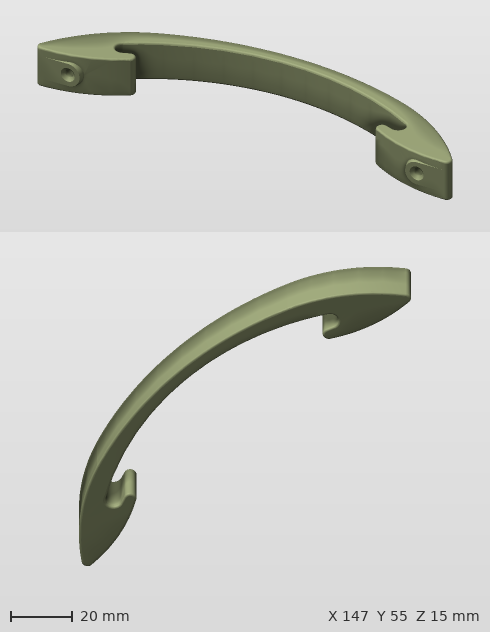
import cadquery as cq
import math

TILT = 14.0

THICKNESS = 15.0
WAIST_DEPTH = 0.6
BLOCK_MARGIN = 0.1
EDGE_RADIUS = 0.7

CROWN_HEIGHT = 34.3
CROWN_RADIUS = 129.5
CROWN_HALF_ANGLE = 20.0

INNER_HEIGHT = 29.7
INNER_RADIUS = 100.0

TIP_U = 73.8
TIP_RADIUS = 1.9
TIP_FLAT = 0.9

UNDERSIDE_RADIUS = 53.7
TONGUE_U = 46.2
TONGUE_RADIUS = 2.0

NOTCH_U = 50.3
NOTCH_RADIUS = 2.6

HOLE_U = 63.8
HOLE_DIAMETER = 3.0
HOLE_DEPTH = 11.8
COUNTERSINK_DIAMETER = 5.1
COUNTERSINK_ANGLE = 90.0
PAD_WIDTH = 8.5
PAD_DEPTH = 2.6
PAD_DRAFT = 20.0

UP = math.pi / 2
DOWN = -UP


def polar(center, radius, angle):
    """Point on a circle, with the angle in radians from the u direction."""
    return (center[0] + radius * math.cos(angle), center[1] + radius * math.sin(angle))


def direction(start, end):
    """Angle in radians of the line from start to end."""
    return math.atan2(end[1] - start[1], end[0] - start[0])


def add_arc(wire, center, radius, start_angle, end_angle):
    """Extend the wire along a circle, from the point it has already reached."""
    middle = polar(center, radius, (start_angle + end_angle) / 2)
    return wire.threePointArc(middle, polar(center, radius, end_angle))


def end_arc(junction, normal_angle, tip):
    """Centre and radius of the arc that leaves the crown smoothly and meets the tip circle smoothly."""
    normal = (math.cos(normal_angle), math.sin(normal_angle))
    offset = (junction[0] - tip[0], junction[1] - tip[1])
    along = offset[0] * normal[0] + offset[1] * normal[1]
    squared = offset[0] ** 2 + offset[1] ** 2
    radius = (squared - TIP_RADIUS ** 2) / (2 * (along - TIP_RADIUS))
    return polar(junction, -radius, normal_angle), radius


def half_profile():
    """Outline of the right half of the handle, from the crown round to the inner side."""
    crown = (0, CROWN_HEIGHT - CROWN_RADIUS)
    junction_angle = math.radians(90 - CROWN_HALF_ANGLE)
    junction = polar(crown, CROWN_RADIUS, junction_angle)
    tip = (TIP_U, TIP_RADIUS)
    end_center, end_radius = end_arc(junction, junction_angle, tip)
    tip_angle = direction(end_center, tip)

    underside = (TIP_U - TIP_FLAT, UNDERSIDE_RADIUS)
    tongue_reach = UNDERSIDE_RADIUS - TONGUE_RADIUS
    tongue_angle = -math.acos((TONGUE_U - underside[0]) / tongue_reach)
    tongue = polar(underside, tongue_reach, tongue_angle)

    inner = (0, INNER_HEIGHT - INNER_RADIUS)
    notch_reach = INNER_RADIUS - NOTCH_RADIUS
    notch_angle = math.acos(NOTCH_U / notch_reach)
    notch = polar(inner, notch_reach, notch_angle)

    swing = math.acos((TONGUE_RADIUS + NOTCH_RADIUS) / math.dist(tongue, notch))
    touch_angle = direction(tongue, notch) + swing

    wire = cq.Workplane("XY").moveTo(0, INNER_HEIGHT).lineTo(0, CROWN_HEIGHT)
    wire = add_arc(wire, crown, CROWN_RADIUS, UP, junction_angle)
    wire = add_arc(wire, end_center, end_radius, junction_angle, tip_angle)
    wire = add_arc(wire, tip, TIP_RADIUS, tip_angle, DOWN)
    wire = wire.lineTo(underside[0], 0)
    wire = add_arc(wire, underside, UNDERSIDE_RADIUS, DOWN, tongue_angle)
    wire = add_arc(wire, tongue, TONGUE_RADIUS, tongue_angle, touch_angle - 2 * math.pi)
    wire = wire.lineTo(*polar(notch, NOTCH_RADIUS, touch_angle - math.pi))
    wire = add_arc(wire, notch, NOTCH_RADIUS, touch_angle - math.pi, notch_angle)
    wire = add_arc(wire, inner, INNER_RADIUS, notch_angle, UP)
    return wire.close()


def waisted_block():
    """Block whose +Z and -Z faces are hollowed slightly along the chord."""
    half_length = TIP_U + TIP_RADIUS + BLOCK_MARGIN
    half_height = THICKNESS / 2
    waist = half_height - WAIST_DEPTH
    return (
        cq.Workplane("XZ")
        .moveTo(-half_length, half_height)
        .threePointArc((0, waist), (half_length, half_height))
        .lineTo(half_length, -half_height)
        .threePointArc((0, -waist), (-half_length, -half_height))
        .close()
        .extrude(2 * CROWN_HEIGHT, both=True)
    )


def handle_body():
    half = half_profile().extrude(THICKNESS, both=True)
    body = half.union(half.mirror("YZ")).intersect(waisted_block()).clean()
    rims = body.faces("<Z or >Z").edges()
    return rims.fillet(EDGE_RADIUS)


def pad(side):
    """U-shaped pad with drafted sides on the mounting plane, from the tip flat past the hole."""
    half_width = PAD_WIDTH / 2
    pad_end = TIP_U - TIP_FLAT / 2
    return (
        cq.Workplane("XZ")
        .moveTo(side * pad_end, half_width)
        .lineTo(side * HOLE_U, half_width)
        .threePointArc((side * (HOLE_U - half_width), 0), (side * HOLE_U, -half_width))
        .lineTo(side * pad_end, -half_width)
        .close()
        .extrude(-PAD_DEPTH, taper=-PAD_DRAFT)
    )


def drill_feet(handle):
    """Blind countersunk screw hole in each foot, square to the mounting plane."""
    return (
        handle.copyWorkplane(cq.Workplane("XZ"))
        .pushPoints([(-HOLE_U, 0), (HOLE_U, 0)])
        .cskHole(HOLE_DIAMETER, COUNTERSINK_DIAMETER, COUNTERSINK_ANGLE, HOLE_DEPTH)
    )


handle = handle_body()
for side in (-1, 1):
    handle = handle.union(pad(side))
handle = drill_feet(handle)
result = handle.rotate((0, 0, 0), (0, 0, 1), TILT).solids()